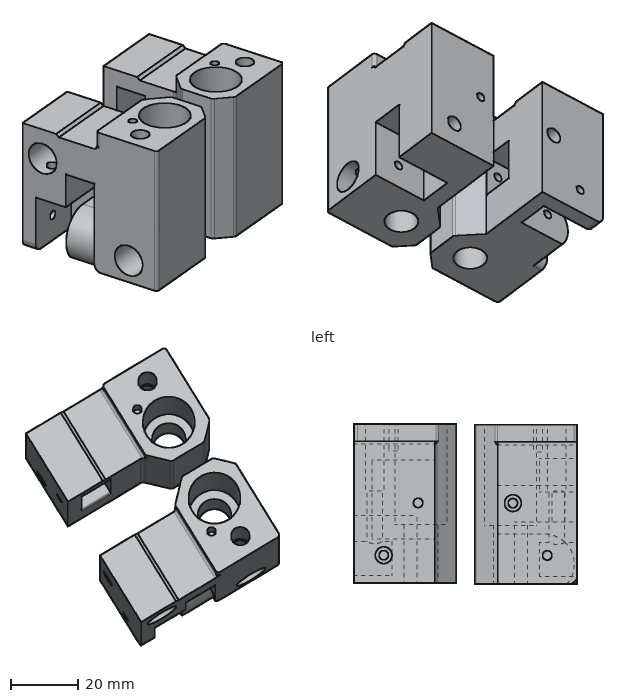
import cadquery as cq
import math

OVERALL_Y = 66.3
BLOCK_X = 48.3
BLOCK_Y = 30.4
BLOCK_Z = 47.25
LEFT_SHIFT = 0.25

TAB_Z = 42.15
FLOOR_Z = 41.3
TAB_END_X = 12.05
FLOOR_START_X = 13.05
HEAD_X = 26.45
FACET_START_X = 25.8
FAR_CHAMFER = 4.9
RIGHT_ARM_Y = 23.5
LEFT_ARM_Y = 24.05
CORNER_R = 1.0
FLOOR_R = 0.8
FACET_R = 1.3
ARM_FACET_R = 1.8

BORE_X, BORE_Y = 37.5, 19.9
BORE_D = 10.0
BUSHING_D = 15.4
BUSHING_DEPTH = 29.8
DOWEL_X, DOWEL_Y = 31.55, 11.75
DOWEL_D = 2.6
DOWEL_DEPTH = 7.95
SCREW_Y = 6.1
RIGHT_SCREW_X = 38.1
LEFT_SCREW_X = 38.5
SCREW_D = 5.5
SCREW_DEPTH = 19.9
SCREW_TIP_D = 4.6

SIDE_HOLE_D = 10.0
SIDE_HOLE_DEPTH = 11.3
CLAMP_HOLE_X, CLAMP_HOLE_Z = 57.5, 7.35
CABLE_HOLE_X, CABLE_HOLE_Z = 7.2, 32.35
CABLE_DROP_Y = 5.65
CABLE_DROP_D = 4.0

PIN_D = 2.8
PIN_HEAD_D = 5.0
PIN_HEAD_DEPTH = 6.6
PIN_DEPTH = 28.5
LOWER_PIN_Y, LOWER_PIN_Z = 8.9, 8.5
UPPER_PIN_Y, UPPER_PIN_Z = 19.1, 24.0
LEFT_PIN_DROP = 0.2

POCKET_X = 4.8
POCKET_DEPTH = 18.7
SLOT_END_X = 25.7
LIP_R = 0.45
RIGHT_POCKET_Z = 18.4
SLOT_START_X = 15.5
SLOT_TOP_Z = 29.3
GUIDE_START_X = 15.0
GUIDE_R = 8.95
GUIDE_FRONT_Y = 0.9
GUIDE_TOP_Z = 14.9
LOWER_EDGE_R = 2.5
WINDOW_END_X = 14.9
WINDOW_FLOOR_Z = 13.1
WINDOW_TOP_Z = 36.65
LEFT_POCKET_Z = 20.15


def box(x0, x1, y0, y1, z0, z1):
    return cq.Workplane("XY").box(x1 - x0, y1 - y0, z1 - z0, centered=False).translate((x0, y0, z0))


def cylinder(start, direction, diameter, length):
    solid = cq.Solid.makeCylinder(diameter / 2, length, cq.Vector(*start), cq.Vector(*direction))
    return cq.Workplane(obj=solid)


def corner_waste(radius, length):
    """Material outside a rounding of the y = 0, z = 0 edge, running along +X from the origin."""
    mid = radius * (1 - math.sqrt(0.5))
    return (
        cq.Workplane("YZ").lineTo(radius, 0)
        .threePointArc((mid, mid), (0, radius)).close().extrude(length)
    )


def round_upright_edge(block, x, y, middle_z, radius):
    """Round the vertical edge whose middle is at the given point."""
    edge = cq.selectors.NearestToPointSelector((x, y, middle_z))
    return block.edges(edge).fillet(radius)


def arm_recess():
    """Shallow channel across the arm, sloped at the tab and curved up into the head wall."""
    mid = FLOOR_R * (1 - math.sqrt(0.5))
    return (
        cq.Workplane("XZ")
        .polyline([(HEAD_X, TAB_Z), (TAB_END_X, TAB_Z), (FLOOR_START_X, FLOOR_Z)])
        .lineTo(HEAD_X - FLOOR_R, FLOOR_Z)
        .threePointArc((HEAD_X - mid, FLOOR_Z + mid), (HEAD_X, FLOOR_Z + FLOOR_R))
        .close().extrude(-BLOCK_Y)
    )


def block_blank(arm_y, arm_facet_r):
    """Arm and tall head, without holes or pockets."""
    facet_end_x = FACET_START_X + BLOCK_Y - arm_y
    plan = (
        cq.Workplane("XY")
        .polyline([
            (0, 0), (BLOCK_X, 0), (BLOCK_X, BLOCK_Y - FAR_CHAMFER), (BLOCK_X - FAR_CHAMFER, BLOCK_Y),
            (facet_end_x, BLOCK_Y), (FACET_START_X, arm_y), (0, arm_y),
        ]).close().extrude(BLOCK_Z)
    )
    plan = round_upright_edge(plan, BLOCK_X, 0, BLOCK_Z / 2, CORNER_R)
    plan = round_upright_edge(plan, facet_end_x, BLOCK_Y, BLOCK_Z / 2, FACET_R)
    plan = round_upright_edge(plan, BLOCK_X - FAR_CHAMFER, BLOCK_Y, BLOCK_Z / 2, FACET_R)
    plan = round_upright_edge(plan, BLOCK_X, BLOCK_Y - FAR_CHAMFER, BLOCK_Z / 2, FACET_R)
    if arm_facet_r:
        plan = round_upright_edge(plan, FACET_START_X, arm_y, BLOCK_Z / 2, arm_facet_r)

    block = plan.cut(box(0, HEAD_X, 0, BLOCK_Y, TAB_Z, BLOCK_Z))
    facet_wall_y = arm_y + HEAD_X - FACET_START_X
    for wall_end_y in (0, facet_wall_y):
        block = round_upright_edge(block, HEAD_X, wall_end_y, (TAB_Z + BLOCK_Z) / 2, CORNER_R)
    return block.cut(arm_recess())


def drill_head(block, screw_x):
    """Stepped bore, dowel hole, and clamp screw reaching the blind clamp hole in the side."""
    down = (0, 0, -1)
    block = block.cut(cylinder((BORE_X, BORE_Y, BLOCK_Z), down, BORE_D, BLOCK_Z))
    block = block.cut(cylinder((BORE_X, BORE_Y, BLOCK_Z), down, BUSHING_D, BUSHING_DEPTH))
    block = block.cut(cylinder((DOWEL_X, DOWEL_Y, BLOCK_Z), down, DOWEL_D, DOWEL_DEPTH))
    block = block.cut(cylinder((screw_x, SCREW_Y, BLOCK_Z), down, SCREW_D, SCREW_DEPTH))
    block = block.cut(cylinder((screw_x, SCREW_Y, BLOCK_Z), down, SCREW_TIP_D, BLOCK_Z - CLAMP_HOLE_Z))
    return block.cut(cylinder((screw_x, 0, CLAMP_HOLE_Z), (0, 1, 0), SIDE_HOLE_D, SIDE_HOLE_DEPTH))


def drill_pins(block, headed_pin, drop):
    """Two cross pin holes from the end of the arm; one of them has a wider head."""
    places = {"lower": (LOWER_PIN_Y, LOWER_PIN_Z - drop), "upper": (UPPER_PIN_Y, UPPER_PIN_Z - drop)}
    for name, (y, z) in places.items():
        block = block.cut(cylinder((0, y, z), (1, 0, 0), PIN_D, PIN_DEPTH))
        if name == headed_pin:
            block = block.cut(cylinder((0, y, z), (1, 0, 0), PIN_HEAD_D, PIN_HEAD_DEPTH))
    return block


def cable_guide():
    """Solid below the right slot, with a round nose towards the outer side."""
    center_z = GUIDE_TOP_Z - GUIDE_R
    center_y = GUIDE_FRONT_Y + GUIDE_R
    bottom_y = center_y - math.sqrt(GUIDE_R**2 - center_z**2)
    return (
        cq.Workplane("YZ", origin=(GUIDE_START_X, 0, 0))
        .moveTo(bottom_y, 0)
        .threePointArc((GUIDE_FRONT_Y, center_z), (center_y, GUIDE_TOP_Z))
        .lineTo(RIGHT_ARM_Y, GUIDE_TOP_Z).lineTo(RIGHT_ARM_Y, 0).close()
        .extrude(SLOT_END_X + LOWER_EDGE_R - GUIDE_START_X)
    )


def right_pockets(block):
    """Outer pocket behind the leg and a slot through the arm above the cable guide."""
    pocket = box(POCKET_X, SLOT_START_X, 0, POCKET_DEPTH, 0, RIGHT_POCKET_Z)
    slot = box(SLOT_START_X, SLOT_END_X, 0, RIGHT_ARM_Y, 0, SLOT_TOP_Z)
    block = block.cut(pocket).cut(slot)

    slot_lip = corner_waste(LIP_R, SLOT_END_X - SLOT_START_X).translate((SLOT_START_X, 0, SLOT_TOP_Z))
    pocket_lip = corner_waste(LIP_R, SLOT_START_X - POCKET_X).translate((POCKET_X, POCKET_DEPTH, 0))
    leg_round = corner_waste(LOWER_EDGE_R, POCKET_X)
    slot_corner = (
        corner_waste(LOWER_EDGE_R, RIGHT_ARM_Y)
        .rotate((0, 0, 0), (0, 0, 1), 90).mirror("YZ")
        .translate((SLOT_END_X, 0, 0))
    )
    for waste in (slot_lip, pocket_lip, leg_round, slot_corner):
        block = block.cut(waste)
    return block.union(cable_guide())


def right_cable_hole(block):
    """Blind side hole with a small hole dropping into the outer pocket."""
    block = block.cut(
        cylinder((CABLE_HOLE_X, 0, CABLE_HOLE_Z), (0, 1, 0), SIDE_HOLE_D, SIDE_HOLE_DEPTH)
    )
    drop = cylinder(
        (CABLE_HOLE_X, CABLE_DROP_Y, CABLE_HOLE_Z), (0, 0, -1), CABLE_DROP_D, CABLE_HOLE_Z - RIGHT_POCKET_Z
    )
    return block.cut(drop)


def left_pockets(block):
    """Window in the inner side and an outer pocket beside it that opens into the window."""
    window = box(POCKET_X, WINDOW_END_X, LEFT_ARM_Y - POCKET_DEPTH, LEFT_ARM_Y, WINDOW_FLOOR_Z, WINDOW_TOP_Z)
    lip = (
        corner_waste(LIP_R, WINDOW_END_X - POCKET_X)
        .mirror("XY").mirror("XZ").translate((POCKET_X, LEFT_ARM_Y, WINDOW_FLOOR_Z))
    )
    pocket = box(WINDOW_END_X, SLOT_END_X, 0, POCKET_DEPTH, 0, LEFT_POCKET_Z)
    return block.cut(window).cut(lip).cut(pocket)


def make_right_block():
    block = drill_head(block_blank(RIGHT_ARM_Y, 0), RIGHT_SCREW_X)
    block = right_cable_hole(right_pockets(block))
    return drill_pins(block, "upper", 0)


def make_left_block():
    block = drill_head(block_blank(LEFT_ARM_Y, ARM_FACET_R), LEFT_SCREW_X)
    block = drill_pins(left_pockets(block), "lower", LEFT_PIN_DROP)
    return block.mirror("XZ").translate((LEFT_SHIFT, OVERALL_Y, LEFT_SHIFT))


right_block = make_right_block()
left_block = make_left_block()
result = cq.Compound.makeCompound([right_block.val(), left_block.val()])